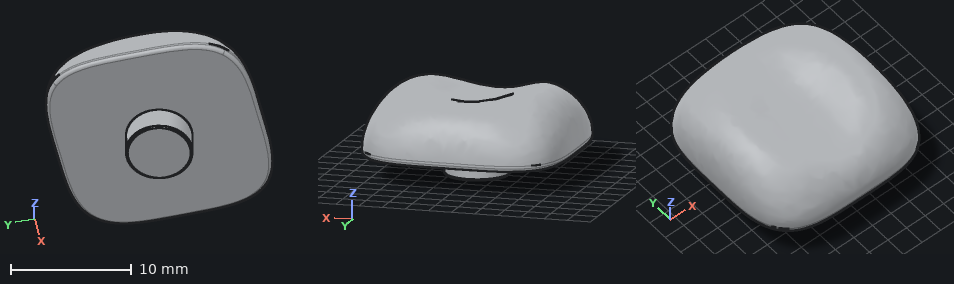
import cadquery as cq
import math

cap_width = 17.48
stem_diameter = 5.5
stem_length = 2.3
stem_edge_chamfer = 0.14

skirt_height = 0.52
skirt_edge_radius = 0.31

plan_exponent = 3.8
dome_exponent = 4.8

rim_blend_exponent = 4

dome_height = 5.17

front_fall = 0.4
front_fall_exponent = 2.8

dish_depth = 1.7
dish_center_y = -1.05
dish_half_width = 3.85
dish_half_length = 6.12
dish_exponent = 3.0

surface_steps = 40
surface_tolerance = 0.02

half_width = cap_width / 2


def plan_point(u, v):
    """Map a square grid position to x, y and the fraction of the way out to the rim."""
    p = u * math.sqrt(1 - v**2 / 2)
    q = v * math.sqrt(1 - u**2 / 2)
    spread = min(math.hypot(p, q), 1.0)
    if spread == 0:
        return 0.0, 0.0, 0.0
    cosine = p / math.hypot(p, q)
    sine = q / math.hypot(p, q)
    fraction = math.sin(math.pi / 2 * spread)
    rim_radius = (abs(cosine)**plan_exponent + abs(sine)**plan_exponent)**(-1 / plan_exponent)
    radius = half_width * fraction * (1 + (rim_radius - 1) * fraction**rim_blend_exponent)
    return radius * cosine, radius * sine, fraction


def cap_point(u, v):
    """Point on the dome, lowered at the front and hollowed by the finger dish."""
    x, y, fraction = plan_point(u, v)
    profile = math.sqrt(max(0.0, 1 - fraction**dome_exponent))
    front = max(0.0, -y / half_width)
    crown = dome_height * (1 - front_fall * front**front_fall_exponent)
    across = x / dish_half_width
    along = (y - dish_center_y) / dish_half_length
    dish = dish_depth * math.exp(-math.hypot(across, along)**dish_exponent)
    z = skirt_height + profile * (crown - dish)
    return cq.Vector(x, y, z)


def make_dome():
    steps = [2 * i / surface_steps - 1 for i in range(surface_steps + 1)]
    grid = [[cap_point(u, v) for v in steps] for u in steps]
    top = cq.Face.makeSplineApprox(grid, tol=surface_tolerance, minDeg=3, maxDeg=6)
    foot = cq.Face.makeFromWires(top.outerWire())
    dome = cq.Solid.makeSolid(cq.Shell.makeShell([top, foot]))
    return dome, foot


def make_skirt(foot):
    skirt = cq.Workplane(cq.Solid.extrudeLinear(foot, cq.Vector(0, 0, -skirt_height)))
    return skirt.faces("<Z").edges().fillet(skirt_edge_radius)


def make_stem():
    stem = cq.Workplane().circle(stem_diameter / 2).extrude(-stem_length)
    return stem.faces("<Z").edges().chamfer(stem_edge_chamfer)


dome, foot = make_dome()
result = make_skirt(foot).union(cq.Workplane(dome)).union(make_stem())